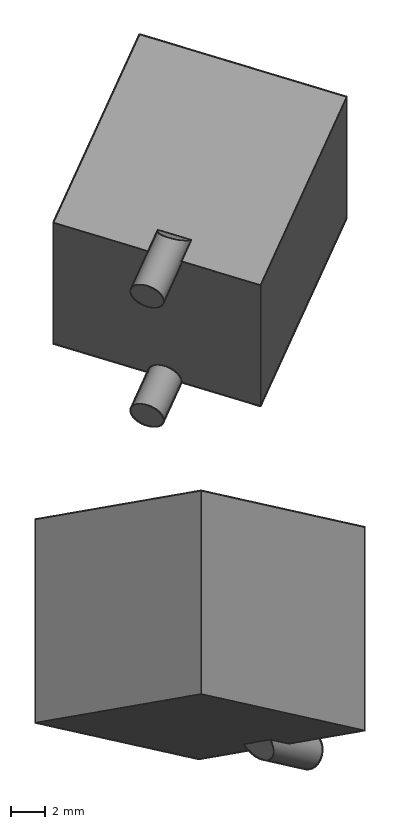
import cadquery as cq

block_width = 13.0
block_depth = 14.55
block_height = 12.2

pin_diameter = 2.1
pin_spacing = 12.0
pin_offset_x = 0.5
pin_protrusion = 3.0
pin_crest_embedment = 0.7

pin_radius = pin_diameter / 2
front_y = -block_depth / 2
pin_tip_y = front_y - pin_protrusion
crest_end_y = front_y + pin_crest_embedment
pin_axis_z = pin_spacing / 2
pin_crest_z = pin_axis_z + pin_radius


def make_block():
    return cq.Workplane("XY").box(block_width, block_depth, block_height)


def make_upper_pin():
    """Round pin along Y whose inner end is cut at 45 degrees, sloping down into the block."""
    pin_length = crest_end_y + pin_diameter - pin_tip_y
    pin = (
        cq.Workplane("XZ", origin=(pin_offset_x, pin_tip_y, pin_axis_z))
        .circle(pin_radius)
        .extrude(-pin_length)
    )
    side_profile = [
        (pin_tip_y, pin_crest_z),
        (crest_end_y, pin_crest_z),
        (crest_end_y + pin_diameter, pin_crest_z - pin_diameter),
        (pin_tip_y, pin_crest_z - pin_diameter),
    ]
    envelope = (
        cq.Workplane("YZ", origin=(pin_offset_x, 0, 0))
        .polyline(side_profile)
        .close()
        .extrude(pin_radius, both=True)
    )
    return pin.intersect(envelope)


upper_pin = make_upper_pin()
lower_pin = upper_pin.mirror("XY")
result = make_block().union(upper_pin).union(lower_pin)